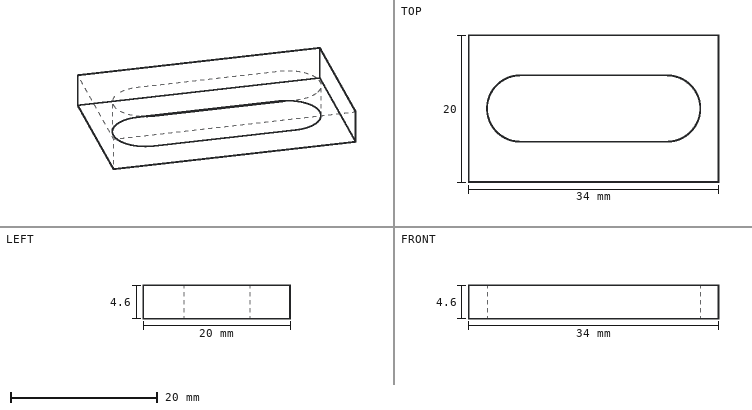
import cadquery as cq

plate_length = 34.0
plate_width = 20.0
plate_thickness = 4.6

slot_width = 9.0
slot_center_distance = 20.0
slot_length = slot_center_distance + slot_width


def make_plate():
    """Flat rectangular plate centred on the origin."""
    return cq.Workplane("XY").box(plate_length, plate_width, plate_thickness)


def cut_slot(plate):
    """Cut the slot through the full thickness of the plate."""
    return plate.faces(">Z").workplane().slot2D(slot_length, slot_width).cutThruAll()


result = cut_slot(make_plate())